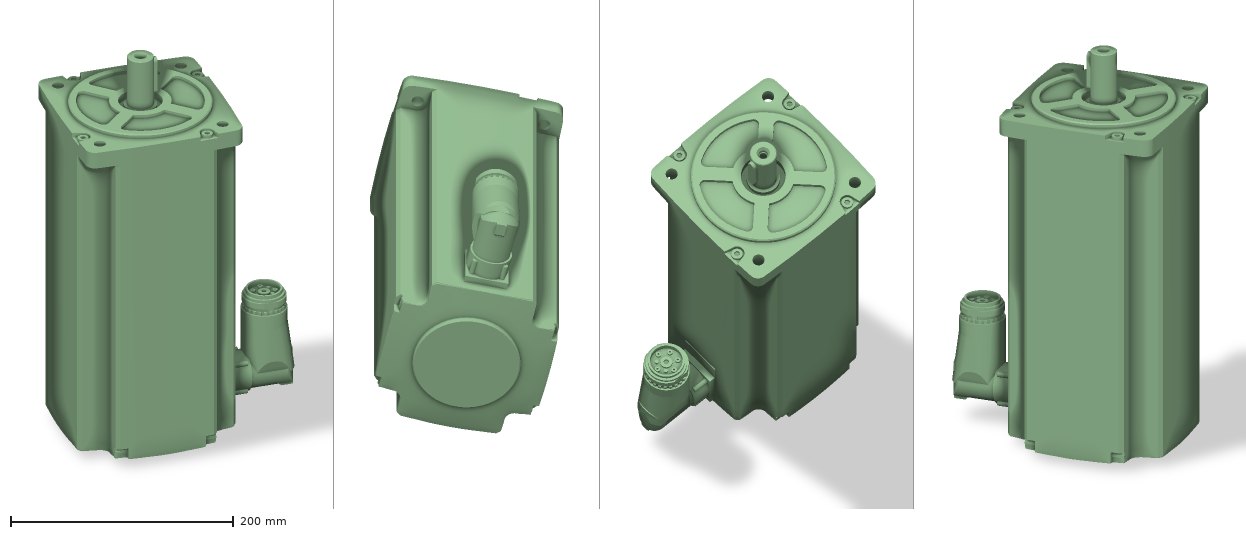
import cadquery as cq
import math


shaft_top = 376.5
pilot_top = 331.0
flange_top = 326.5
flange_bottom = 310.5
housing_bottom = 11.0
cap_top = 5.0

half_width = 76.0
flange_tangent = 65.0
corner_radius = 9.0
flange_edge = flange_tangent + corner_radius
crown = half_width - flange_edge
crown_radius = (flange_tangent**2 + crown**2) / (2 * crown)
face_half_width = 44.5
notch_wall = 48.2
notch_edge = 72.0
notch_fillet = 9.0
rear_cover_inset = 0.55

pilot_radius = 65.0
pilot_chamfer = 1.0
pocket_outer_radius = 58.0
pocket_inner_radius = 28.2
pocket_rib_width = 13.0
pocket_depth = 3.8
pocket_corner_radius = 5.0
seal_bore_diameter = 40.3
seal_bore_depth = 7.5
seal_diameter = 30
seal_height = 4.5
mount_hole_diameter = 11.0
mount_hole_offset = 58.5

screw_along = 40.3
screw_out = 68.0
screw_recess_diameter = 13.5
screw_recess_depth = 4.0
screw_slot_mouth = 17.7
screw_head_diameter = 10.0
screw_head_height = 3.0
screw_socket_diameter = 5.0
screw_socket_depth = 2.3

shaft_diameter = 24.0
shaft_chamfer = 0.8
tapping_diameter = 6.8
tapping_depth = 19
thread_relief_diameter = 8.3
thread_relief_depth = 6.0
centre_cone_diameter = 12.0
centre_cone_depth = 3.0
key_width = 8.0
key_length = 36.0
key_gap = 3.5
key_outer = 15
key_inner = 8.3

rear_slope = 0.11
face_rear_slope = 0.25
face_rear_height = 8.0
cap_diameter = 97.0
cap_chamfer = 1.0
latch_inner = 36.5
latch_depth = 6.0
latch_top = 20.0
latch_bar_bottom = 14.0
latch_bar_top = 16.2
latch_bar_setback = 5.0

outlet_height = 38.8
barrel_y = 117.5
barrel_radius = 21.0
barrel_top = 98.5
taper_top = 86.2
taper_bottom = 47.5
connector_back = 144.0
base_width = 39.5
base_height = 41.0
base_front = 82.5
pad_front = 76.8
pad_top = 75.3
neck_radius = 19.2
neck_end = 96.8
neck_notch_start = 83.5
neck_notch = 11.5
neck_screw_offset = 14.0
neck_screw_diameter = 5.0
elbow_ring_width = 3.0
elbow_radius = 17.5
shoulder_half_width = 16.0
shoulder_height = 54.0
lip_bottom = 19.2
lip_length = 11.5
lip_top = 24.5
lip_half_width = 4.5
knurl_bottom = 101.0
knurl_top = 104.3
knurl_root_radius = 19
knurl_radius = 20.0
knurl_count = 24
knurl_width = 2.5
groove_top = 107.5
groove_radius = 18.5
collar_top = 113.5
collar_radius = 20.5
collar_gap = 12.8
collar_tab_stem = 5.5
rim_top = 116.0
rim_radius = 19
plug_top = 119.5
plug_radius = 16.5
socket_radius = 14.5
socket_depth = 5.5
centre_contact_diameter = 11.0
contact_circle = 10.5
contact_angles = (0, 90, 180, 240, 300)
contact_diameter = 5.0
contact_bore = 2.0
signal_circle = 8.5
signal_angles = (45, 135)
signal_diameter = 3.6
contact_height = 2.3


def rotated(shape, angle):
    return shape.rotate((0, 0, 0), (0, 0, 1), angle)


def polar(radius, angle):
    return radius * math.cos(math.radians(angle)), radius * math.sin(math.radians(angle))


def disc(diameter, bottom, top, x=0, y=0):
    return cq.Workplane("XY", origin=(x, y, bottom)).circle(diameter / 2).extrude(top - bottom)


def block(x0, x1, y0, y1, z0, z1):
    return cq.Workplane("XY").box(x1 - x0, y1 - y0, z1 - z0, centered=False).translate((x0, y0, z0))


def rod_along_y(radius, start, end, x=0, z=outlet_height):
    return cq.Workplane("XZ", origin=(x, start, z)).circle(radius).extrude(start - end)


def crowned_edge(along):
    """Distance from the motor axis plane to the crowned side face."""
    return half_width - crown_radius + math.sqrt(crown_radius**2 - along**2)


def turned(point, quarter):
    """Turn a plan point about the motor axis by quarter turns."""
    x, y = point
    for _ in range(quarter):
        x, y = -y, x
    return x, y


def flange_outline(plane):
    bulge = corner_radius * math.sqrt(0.5)
    outline = plane.moveTo(-flange_tangent, -flange_edge)
    for quarter in range(4):
        outline = outline.threePointArc(
            turned((0, -half_width), quarter), turned((flange_tangent, -flange_edge), quarter)
        )
        outline = outline.threePointArc(
            turned((flange_tangent + bulge, -flange_tangent - bulge), quarter),
            turned((flange_edge, -flange_tangent), quarter),
        )
    return outline.close()


def housing_outline(plane):
    face_edge = crowned_edge(face_half_width)
    fillet_end = notch_wall + notch_fillet
    fillet_middle = fillet_end - notch_fillet * math.sqrt(0.5)
    outline = plane.moveTo(-face_half_width, -face_edge)
    for quarter in range(4):
        outline = outline.threePointArc(
            turned((0, -half_width), quarter), turned((face_half_width, -face_edge), quarter)
        )
        outline = outline.lineTo(*turned((notch_wall, -notch_edge), quarter))
        outline = outline.lineTo(*turned((notch_wall, -fillet_end), quarter))
        outline = outline.threePointArc(
            turned((fillet_middle, -fillet_middle), quarter), turned((fillet_end, -notch_wall), quarter)
        )
        outline = outline.lineTo(*turned((notch_edge, -notch_wall), quarter))
        outline = outline.lineTo(*turned((face_edge, -face_half_width), quarter))
    return outline.close()


def above_cone(height_at_axis, slope):
    """Space above a shallow cone that opens upward."""
    reach = 2 * half_width
    profile = [
        (0, height_at_axis),
        (reach, height_at_axis + slope * reach),
        (reach, flange_top),
        (0, flange_top),
    ]
    return cq.Workplane("XZ").polyline(profile).close().revolve(360, (0, 0, 0), (0, 1, 0))


def make_housing():
    shell = housing_outline(cq.Workplane("XY")).extrude(flange_bottom)
    face_end = above_cone(face_rear_height - face_rear_slope * half_width, face_rear_slope)
    face_end = face_end.intersect(
        block(-half_width, half_width, -half_width, half_width, face_rear_height, flange_bottom)
    )
    corner_end = block(-half_width, half_width, -half_width, half_width, housing_bottom, flange_bottom)
    return shell.intersect(face_end.union(corner_end))


def latch_window(x_side, y_side):
    """Notch with a bar across its floor, low on the edge of an X face and open below."""
    floor = half_width - latch_depth
    window = block(floor, half_width, latch_inner, notch_wall, 0, latch_top)
    bar_face = half_width - latch_bar_setback
    bar = block(floor, bar_face, latch_inner, notch_wall, latch_bar_bottom, latch_bar_top)
    window = window.cut(bar)
    if x_side < 0:
        window = window.mirror("YZ")
    if y_side < 0:
        window = window.mirror("XZ")
    return window


def make_rear_end():
    cover = housing_outline(cq.Workplane("XY")).offset2D(-rear_cover_inset).extrude(housing_bottom)
    cover = cover.intersect(above_cone(cap_top - rear_slope * cap_diameter / 2, rear_slope))
    cap = disc(cap_diameter, 0, housing_bottom).faces("<Z").chamfer(cap_chamfer)
    return cover.union(cap)


def make_shell():
    shell = make_housing().union(make_rear_end())
    for x_side in (-1, 1):
        for y_side in (-1, 1):
            shell = shell.cut(latch_window(x_side, y_side))
    return shell


def front_pocket():
    """Ring sector between two diagonal ribs, centred on +Y."""
    floor = pilot_top - pocket_depth
    rib = pocket_rib_width * math.sqrt(0.5)
    ring = disc(2 * pocket_outer_radius, floor, pilot_top)
    ring = ring.cut(disc(2 * pocket_inner_radius, floor, pilot_top))
    reach = pilot_radius
    wedge_points = [(0, rib), (reach, rib + reach), (-reach, rib + reach)]
    wedge = cq.Workplane("XY", origin=(0, 0, floor)).polyline(wedge_points).close().extrude(pocket_depth)
    sector = ring.intersect(wedge)
    outer_corners = cq.selectors.BoxSelector(
        (-reach, pocket_inner_radius + rib, 0), (reach, reach, shaft_top)
    )
    return sector.edges("|Z").edges(outer_corners).fillet(pocket_corner_radius)


def screw_recess():
    """Recess on the -Y side, flared open through the side face."""
    floor = flange_top - screw_recess_depth
    bowl = disc(screw_recess_diameter, floor, flange_top, screw_along, -screw_out)
    half_bowl = screw_recess_diameter / 2
    half_mouth = screw_slot_mouth / 2
    mouth = [
        (screw_along - half_bowl, -screw_out),
        (screw_along + half_bowl, -screw_out),
        (screw_along + half_mouth, -half_width),
        (screw_along - half_mouth, -half_width),
    ]
    slot = cq.Workplane("XY", origin=(0, 0, floor)).polyline(mouth).close().extrude(screw_recess_depth)
    return bowl.union(slot)


def screw_head():
    floor = flange_top - screw_recess_depth
    top = floor + screw_head_height
    head = disc(screw_head_diameter, floor, top, screw_along, -screw_out)
    socket = (
        cq.Workplane("XY", origin=(screw_along, -screw_out, top - screw_socket_depth))
        .polygon(6, screw_socket_diameter, circumscribed=True)
        .extrude(screw_socket_depth)
    )
    return head.cut(socket)


def make_flange():
    base_plane = cq.Workplane("XY", origin=(0, 0, flange_bottom))
    flange = flange_outline(base_plane).extrude(flange_top - flange_bottom)
    pilot = disc(2 * pilot_radius, flange_top, pilot_top).faces(">Z").chamfer(pilot_chamfer)
    flange = flange.union(pilot)
    for quarter in range(4):
        angle = 90 * quarter
        hole_x, hole_y = turned((mount_hole_offset, mount_hole_offset), quarter)
        flange = flange.cut(disc(mount_hole_diameter, flange_bottom, flange_top, hole_x, hole_y))
        flange = flange.cut(rotated(front_pocket(), angle))
        flange = flange.cut(rotated(screw_recess(), angle))
        flange = flange.union(rotated(screw_head(), angle))
    bore_floor = pilot_top - seal_bore_depth
    flange = flange.cut(disc(seal_bore_diameter, bore_floor, pilot_top))
    return flange.union(disc(seal_diameter, bore_floor, bore_floor + seal_height))


def make_shaft():
    shaft = disc(shaft_diameter, flange_bottom, shaft_top).faces(">Z").chamfer(shaft_chamfer)
    key = (
        cq.Workplane("XZ", origin=(0, key_inner, shaft_top - key_gap - key_length / 2))
        .slot2D(key_length, key_width, 90)
        .extrude(key_inner - key_outer)
    )
    centre_hole = disc(tapping_diameter, shaft_top - tapping_depth, shaft_top)
    relief = disc(thread_relief_diameter, shaft_top - thread_relief_depth, shaft_top)
    cone = (
        cq.Workplane("XY", origin=(0, 0, shaft_top))
        .circle(centre_cone_diameter / 2)
        .workplane(offset=-centre_cone_depth)
        .circle(thread_relief_diameter / 2)
        .loft()
    )
    return shaft.union(key).cut(centre_hole).cut(relief).cut(cone)


def make_outlet():
    """Base plate on the +Y face and the short neck with its four corner screws."""
    base = block(
        -base_width / 2, base_width / 2, notch_wall, base_front,
        outlet_height - base_height / 2, outlet_height + base_height / 2,
    )
    neck = rod_along_y(neck_radius, notch_wall, neck_end)
    corner_size = neck_radius - neck_notch
    notch_length = neck_end - neck_notch_start
    corner_centre = (neck_radius + neck_notch) / 2
    for x_side in (-1, 1):
        for z_side in (-1, 1):
            notch = cq.Workplane("XY").box(corner_size, notch_length, corner_size)
            notch = notch.translate((
                x_side * corner_centre,
                neck_end - notch_length / 2,
                outlet_height + z_side * corner_centre,
            ))
            neck = neck.cut(notch)
            screw_x = x_side * neck_screw_offset
            screw_z = outlet_height + z_side * neck_screw_offset
            neck = neck.union(rod_along_y(neck_screw_diameter / 2, base_front, neck_end, screw_x, screw_z))
    ring = rod_along_y(neck_radius, neck_end, neck_end + elbow_ring_width)
    pad = block(-base_width / 2, base_width / 2, notch_wall, pad_front, outlet_height, pad_top)
    return base.union(neck).union(ring).union(pad)


def make_elbow():
    """Upright barrel whose back leans outward, above a horizontal round elbow."""
    barrel = disc(2 * barrel_radius, outlet_height, barrel_top, 0, barrel_y)
    back_y = connector_back - barrel_radius
    lean_angle = math.degrees(math.atan2(back_y - barrel_y, taper_top - taper_bottom))
    leaning = disc(2 * barrel_radius, -barrel_top, 0).rotate((0, 0, 0), (1, 0, 0), lean_angle)
    leaning = leaning.translate((0, barrel_y, taper_top))
    leaning = leaning.intersect(
        block(-barrel_radius, barrel_radius, barrel_y, connector_back, outlet_height, barrel_top)
    )
    cheek_points = [
        (barrel_y, taper_top),
        (back_y, taper_bottom),
        (back_y, outlet_height),
        (barrel_y, outlet_height),
    ]
    cheeks = cq.Workplane("YZ").polyline(cheek_points).close().extrude(barrel_radius, both=True)
    upper = barrel.union(leaning).union(cheeks)
    shoulder_points = [
        (-shoulder_half_width, outlet_height),
        (shoulder_half_width, outlet_height),
        (barrel_radius, shoulder_height),
        (barrel_radius, barrel_top),
        (-barrel_radius, barrel_top),
        (-barrel_radius, shoulder_height),
    ]
    shoulders = cq.Workplane("XZ").polyline(shoulder_points).close().extrude(-connector_back)
    upper = upper.intersect(shoulders)

    plan = disc(2 * barrel_radius, lip_bottom, taper_top, 0, back_y)
    plan = plan.union(block(-barrel_radius, barrel_radius, neck_end, back_y, lip_bottom, taper_top))
    lower = rod_along_y(elbow_radius, neck_end, connector_back).intersect(plan)
    lip_points = [
        (connector_back, lip_bottom),
        (connector_back - lip_length, lip_bottom),
        (connector_back - lip_length - (lip_top - lip_bottom), lip_top),
        (connector_back, lip_top),
    ]
    lip = cq.Workplane("YZ").polyline(lip_points).close().extrude(lip_half_width, both=True)
    lower = lower.union(lip.intersect(plan))
    return upper.union(lower)


def make_plug():
    """Knurled ring, locking collar and contact face stacked on the barrel."""
    tiers = [
        (barrel_radius, barrel_top, knurl_bottom),
        (knurl_root_radius, knurl_bottom, knurl_top),
        (groove_radius, knurl_top, groove_top),
        (collar_radius, groove_top, collar_top),
        (rim_radius, collar_top, rim_top),
        (plug_radius, rim_top, plug_top),
    ]
    plug = disc(2 * barrel_radius, taper_top, barrel_top)
    for radius, bottom, top in tiers:
        plug = plug.union(disc(2 * radius, bottom, top))

    tooth = block(
        plug_radius, knurl_radius, -knurl_width / 2, knurl_width / 2, knurl_bottom, knurl_top
    )
    for index in range(knurl_count):
        plug = plug.union(rotated(tooth, index * 360 / knurl_count))
    for angle in (0, 180):
        gap = block(rim_radius, collar_radius, -collar_gap / 2, collar_gap / 2, groove_top, collar_top)
        stem = block(
            plug_radius, rim_radius, -collar_tab_stem / 2, collar_tab_stem / 2, knurl_top, groove_top
        )
        plug = plug.cut(rotated(gap, angle)).union(rotated(stem, angle))

    contact_face = plug_top - socket_depth
    plug = plug.cut(disc(2 * socket_radius, contact_face, plug_top))
    contact_top = contact_face + contact_height
    centre_contact = disc(centre_contact_diameter, contact_face, contact_top)
    plug = plug.union(centre_contact.cut(disc(contact_diameter, contact_face, contact_top)))
    for angle in contact_angles:
        x, y = polar(contact_circle, angle)
        plug = plug.union(disc(contact_diameter, contact_face, contact_top, x, y))
        plug = plug.cut(disc(contact_bore, contact_face, contact_top, x, y))
    for angle in signal_angles:
        x, y = polar(signal_circle, angle)
        plug = plug.union(disc(signal_diameter, contact_face, contact_top, x, y))
    return plug.translate((0, barrel_y, 0))


connector = make_outlet().union(make_elbow()).union(make_plug())
result = make_shell().union(make_flange()).union(make_shaft()).union(connector)